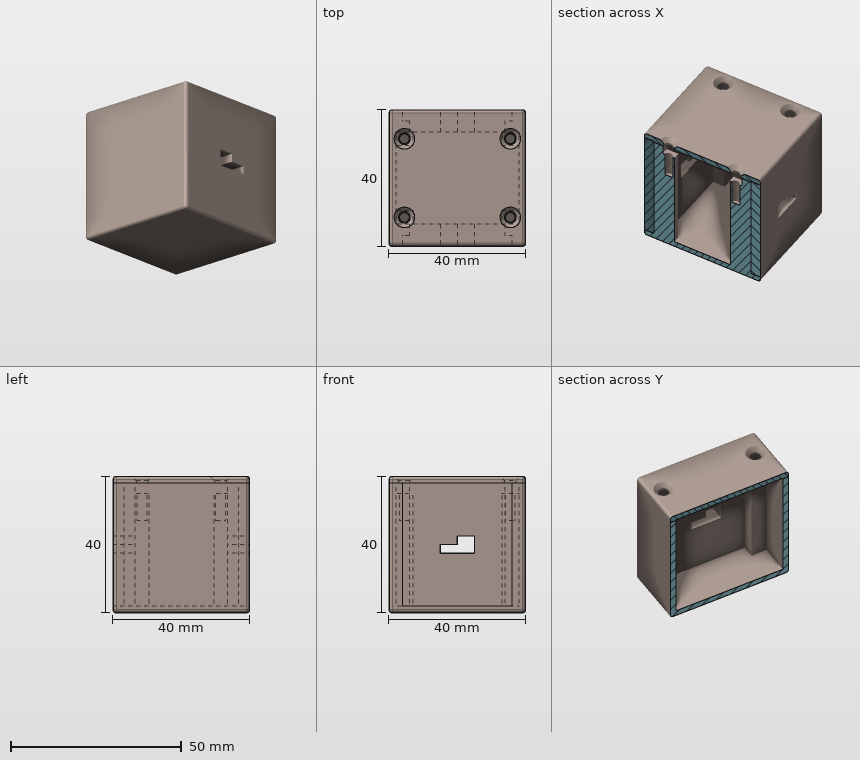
import cadquery as cq

SIZE = 40.0
EDGE_RADIUS = 1.0
HALF = SIZE / 2

SCREW_SPACING_X = 31.0
SCREW_SPACING_Y = 23.0
SCREW_X = SCREW_SPACING_X / 2
SCREW_Y = SCREW_SPACING_Y / 2
CLEARANCE_DIAMETER = 3.4
COUNTERSINK_DIAMETER = 6.0
COUNTERSINK_ANGLE = 90.0
PILOT_DIAMETER = 2.9
PILOT_DEPTH = 8.0

WALL = 2.0
SCREW_TO_END_WALL = 2.0
SEAM_Z = SIZE - WALL
CAVITY_X = HALF - WALL
CAVITY_Y = SCREW_Y + SCREW_TO_END_WALL
END_WALL = HALF - CAVITY_Y
BOSS_GAP = 3.0
BOSS_TOP = SEAM_Z - BOSS_GAP

PANEL_OUTER_WIDTH = 32.0
PANEL_INNER_WIDTH = 28.0
PANEL_STEP = END_WALL / 2
PANEL_HEIGHT = SEAM_Z - WALL

OPENING_WIDTH = 10.0
OPENING_HEIGHT = OPENING_WIDTH / 2
OPENING_BOTTOM = HALF - OPENING_HEIGHT / 2

SIGNS = (-1, 1)
SCREW_POINTS = [(sx * SCREW_X, sy * SCREW_Y) for sx in SIGNS for sy in SIGNS]


def block(width, depth, height, bottom, y=0.0):
    """A box centred on X = 0, with its own centre in Y and its own bottom height."""
    return cq.Workplane(origin=(0, y, bottom)).box(width, depth, height, centered=(True, True, False))


def rounded_cube():
    return block(SIZE, SIZE, SIZE, 0).edges().fillet(EDGE_RADIUS)


def panel_blank(side):
    """Stepped slab filling one end wall: side is -1 for the front and 1 for the back."""
    outer_y = side * (HALF - PANEL_STEP / 2)
    inner_depth = END_WALL - PANEL_STEP
    inner_y = side * (CAVITY_Y + inner_depth / 2)
    outer = block(PANEL_OUTER_WIDTH, PANEL_STEP, PANEL_HEIGHT, WALL, outer_y)
    inner = block(PANEL_INNER_WIDTH, inner_depth, PANEL_HEIGHT, WALL, inner_y)
    return outer.union(inner)


def make_panel(side):
    """End panel with the L-shaped opening: full width below, +X half only above."""
    left = -OPENING_WIDTH / 2
    right = OPENING_WIDTH / 2
    top = OPENING_BOTTOM + OPENING_HEIGHT
    opening = (
        cq.Workplane("XZ")
        .moveTo(left, OPENING_BOTTOM)
        .lineTo(right, OPENING_BOTTOM)
        .lineTo(right, top)
        .lineTo(0, top)
        .lineTo(0, HALF)
        .lineTo(left, HALF)
        .close()
        .extrude(HALF, both=True)
    )
    return panel_blank(side).cut(opening)


def screw_bosses():
    """Corner posts that stand on the floor and run into the cavity walls."""
    width = 2 * (CAVITY_X - SCREW_X)
    depth = 2 * (CAVITY_Y - SCREW_Y)
    height = BOSS_TOP - WALL
    posts = cq.Workplane(origin=(0, 0, WALL)).pushPoints(SCREW_POINTS)
    return posts.box(width, depth, height, centered=(True, True, False))


def make_housing():
    shell = rounded_cube().intersect(block(SIZE, SIZE, SEAM_Z, 0))
    shell = shell.cut(block(2 * CAVITY_X, 2 * CAVITY_Y, PANEL_HEIGHT, WALL))
    for side in SIGNS:
        shell = shell.cut(panel_blank(side))
    pilots = (
        cq.Workplane(origin=(0, 0, BOSS_TOP))
        .pushPoints(SCREW_POINTS)
        .circle(PILOT_DIAMETER / 2)
        .extrude(-PILOT_DEPTH)
    )
    return shell.union(screw_bosses()).cut(pilots)


def make_lid():
    plate = rounded_cube().intersect(block(SIZE, SIZE, WALL, SEAM_Z))
    return (
        plate.faces(">Z")
        .workplane(origin=(0, 0, SIZE))
        .pushPoints(SCREW_POINTS)
        .cskHole(CLEARANCE_DIAMETER, COUNTERSINK_DIAMETER, COUNTERSINK_ANGLE)
    )


housing = make_housing()
lid = make_lid()
panels = [make_panel(side) for side in SIGNS]

result = cq.Compound.makeCompound([housing.val(), lid.val(), *[panel.val() for panel in panels]])